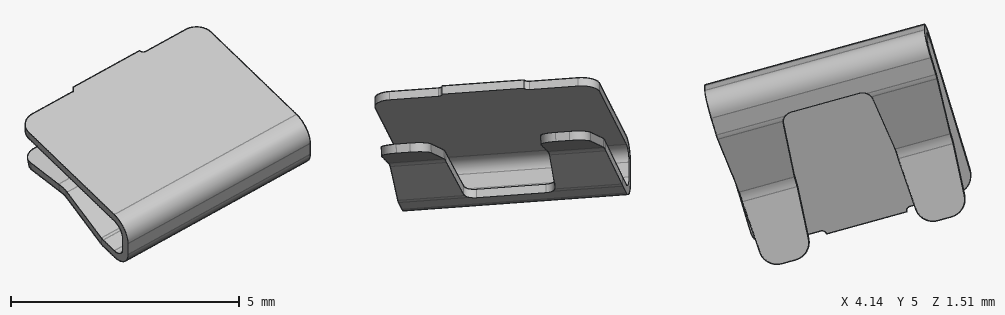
import cadquery as cq
import math

thickness = 0.2
width = 5.0
half_width = width / 2
overall_length = 4.14

plate_length = 4.1
corner_radius = 0.4
tab_depth = 0.1
tab_half_width = 0.915
tab_fillet = tab_depth

bend_outer_radius = 0.5
bend_mid_radius = bend_outer_radius - thickness / 2
back_height = 0.35
lower_flat_length = 0.4

rise_angle = 10.0
fall_angle = 15.0
rise_length = 1.39
rise_bend_radius = 0.5
crest_bend_radius = 0.625
arm_center = 1.775
arm_crest_width = 1.25
arm_tip_width = 1.06
arm_tip_radius = 0.4

notch_x = -0.85
notch_half_width = 1.0
notch_fillet = 0.25

taper_start_x = -0.96
taper_end_x = -2.39
reach = 2 * width


def offset_point(x, z, heading, offset):
    """Point to the left of a heading (degrees in the XZ plane)."""
    angle = math.radians(heading)
    return x - offset * math.sin(angle), z + offset * math.cos(angle)


def follow_sheet(x, z, heading, steps):
    """Follow the sheet's middle line; return both side curves and the end pose.

    Each step is (straight length, 0) or (mid radius, turn angle).
    Positive turns are anticlockwise with X right and Z up.
    """
    offsets = (thickness / 2, -thickness / 2)
    sides = [[(None, offset_point(x, z, heading, offset))] for offset in offsets]
    for size, turn in steps:
        if turn == 0:
            x += size * math.cos(math.radians(heading))
            z += size * math.sin(math.radians(heading))
            middle = None
        else:
            signed_radius = math.copysign(size, turn)
            center = offset_point(x, z, heading, signed_radius)
            middle_heading = heading + turn / 2
            middle = offset_point(*center, middle_heading, -signed_radius)
            heading += turn
            x, z = offset_point(*center, heading, -signed_radius)
        for side, offset in zip(sides, offsets):
            via = offset_point(*middle, middle_heading, offset) if middle else None
            side.append((via, offset_point(x, z, heading, offset)))
    return sides, (x, z, heading)


def sheet_strip(x, z, heading, steps):
    """Full-width bent strip and the pose of its far end."""
    (left, right), end = follow_sheet(x, z, heading, steps)
    outline = cq.Workplane("XZ").moveTo(*left[0][1])
    for via, point in left[1:]:
        outline = outline.threePointArc(via, point) if via else outline.lineTo(*point)
    outline = outline.lineTo(*right[-1][1])
    for index in range(len(right) - 1, 0, -1):
        via = right[index][0]
        point = right[index - 1][1]
        outline = outline.threePointArc(via, point) if via else outline.lineTo(*point)
    return outline.close().extrude(half_width, both=True), end


def make_plate():
    body_left = tab_depth - plate_length
    body_length = plate_length - tab_depth - bend_outer_radius
    body = (
        cq.Workplane("XY")
        .box(body_length, width, thickness, centered=(False, True, False))
        .edges("|Z and <X")
        .fillet(corner_radius)
        .translate((body_left, 0, -thickness))
    )
    root = tab_half_width + tab_fillet
    inset = tab_fillet * (1 - math.sqrt(0.5))
    tab = (
        cq.Workplane("XY")
        .moveTo(body_left, -root)
        .threePointArc((body_left - inset, -root + tab_fillet - inset), (-plate_length, -tab_half_width))
        .lineTo(-plate_length, tab_half_width)
        .threePointArc((body_left - inset, root - tab_fillet + inset), (body_left, root))
        .close()
        .extrude(-thickness)
    )
    return body.union(tab)


def make_notch():
    """Plan cutter between the arms, widening along their tapered inner sides."""
    crest_half_width = arm_center - arm_crest_width / 2
    return (
        cq.Workplane("XY")
        .polyline([
            (notch_x, -notch_half_width),
            (taper_end_x, -crest_half_width),
            (-reach, -crest_half_width),
            (-reach, crest_half_width),
            (taper_end_x, crest_half_width),
            (notch_x, notch_half_width),
        ])
        .close()
        .extrude(-reach)
        .edges("|Z and >X")
        .fillet(notch_fillet)
    )


def make_outer_trim(side):
    """Plan cutter for the tapered outer side of one arm."""
    crest_y = arm_center + arm_crest_width / 2
    return (
        cq.Workplane("XY")
        .polyline([
            (taper_start_x, side * half_width),
            (taper_end_x, side * crest_y),
            (-reach, side * crest_y),
            (-reach, side * half_width),
        ])
        .close()
        .extrude(-reach)
    )


def make_arm_tip(side, end):
    """Flat tapered finger with a rounded end, sloping down from the crest."""
    x, z, heading = end
    slope = math.radians(fall_angle)
    run = overall_length + x - thickness / 2 * math.sin(slope)
    length = run / math.cos(slope)
    plane = cq.Plane(
        origin=(x, side * arm_center, z),
        xDir=(-math.cos(slope), 0, -math.sin(slope)),
        normal=(-math.sin(slope), 0, math.cos(slope)),
    )
    return (
        cq.Workplane(plane)
        .polyline([
            (0, -arm_crest_width / 2),
            (length, -arm_tip_width / 2),
            (length, arm_tip_width / 2),
            (0, arm_crest_width / 2),
        ])
        .close()
        .extrude(thickness / 2, both=True)
        .edges(cq.selectors.ParallelDirSelector(plane.zDir))
        .edges("<X")
        .fillet(arm_tip_radius)
    )


bend_steps = [
    (bend_mid_radius, -90),
    (back_height, 0),
    (bend_mid_radius, -90),
    (lower_flat_length, 0),
    (rise_bend_radius, -rise_angle),
    (rise_length, 0),
    (crest_bend_radius, rise_angle + fall_angle),
]
strip, crest_end = sheet_strip(-bend_outer_radius, -thickness / 2, 0, bend_steps)

result = strip.cut(make_notch())
for arm_side in (-1, 1):
    result = result.cut(make_outer_trim(arm_side))
    result = result.union(make_arm_tip(arm_side, crest_end))
result = result.union(make_plate())